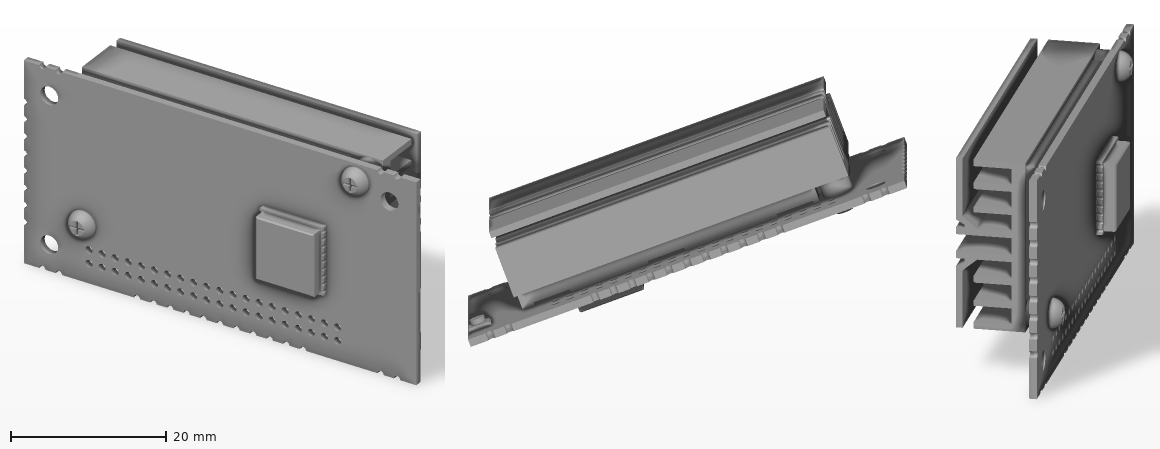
import cadquery as cq
import math


board_length = 60.0
board_height = 30.0
board_thickness = 1.0
mount_hole_diameter = 2.7
mount_hole_inset = 3.9
mount_pitch_x = 52.0
mount_pitch_z = 22.0
pin_hole_diameter = 1.1
pin_pitch = 6 / 3
pin_columns = 20
pin_rows = 2
pin_first_x = 9.95
pin_first_z = 2.95
edge_notch_radius = 0.5
corner_pair_xs = (2.8, 54.55)
bottom_notch_count = 11
bottom_notch_first_x = 17.3
bottom_notch_span = 25.4
edge_notch_pitch = bottom_notch_span / (bottom_notch_count - 1)
left_notch_count = 8
left_notch_first_z = 6.05

sink_length = 46.0
sink_height = 23.2
sink_left = 6.95
sink_center_x = sink_left + sink_length / 2
sink_center_z = 18.05
standoff_height = 2.0
standoff_diameter = 4.0
sink_base_y = board_thickness + standoff_height
sink_base_thickness = 1.8
fin_root_y = sink_base_y + sink_base_thickness
fin_length = 5.05
fin_tip_y = fin_root_y + fin_length
fin_thickness = 0.9
fin_pitch = 3.2
fin_tip_chamfer = 0.2
center_gap = 2.4
sink_back_y = 12.2
wing_thickness = 0.9
wing_outer_z = 3.25
wing_inner_z = 3.7
wing_groove_depth = 1.15
wing_groove_width = 0.5
wing_web_depth = 2.8

screw_offset_x = 20.9
screw_offset_z = 9.5
screw_head_diameter = 4.0
screw_head_height = 1.55
screw_head_rim = 0.25
screw_head_flat_diameter = 2.15
screw_dome_bulge = 0.2
shank_diameter = 2.0
cross_length = 2.15
cross_width = 0.35
cross_depth = 0.5

pad_thickness = 0.2
can_length = 45.05
can_height = 21.95
can_wall = 0.2
can_depth = standoff_height - pad_thickness
can_cutout_x = 4.2
can_cutout_z = 3.6
can_slot_height = 0.35
can_slot_length = 5.05
can_top_slot_starts = (1.6, 17.35, 35.05)
can_end_slot_top_inset = 0.6
can_end_slot_low = 5.45
can_cutout_slot_inset = 0.35

chip_center_x = 41.45
chip_center_z = 14.5
carrier_width = 9.7
carrier_height = 10.1
carrier_thickness = 0.85
castellation_radius = 0.25
castellation_count = 9
castellation_span = 8.9
castellation_pitch = castellation_span / (castellation_count - 1)
chip_width = 8.9
chip_height = 9.25
chip_front_y = -2.5
chip_chamfer = 0.2

plug_center_x = 58.3
plug_center_z = 5.8
foot_length = 3.1
foot_width = 2.75
foot_thickness = 0.25
plug_base_length = 2.9
plug_base_width = 2.5
plug_base_thickness = 0.5
barrel_diameter = 2.0
plug_height = 1.25
snap_groove_width = 0.25
snap_groove_depth = 0.1


def box(x, y, z):
    """Box spanning the three (low, high) ranges."""
    size = (x[1] - x[0], y[1] - y[0], z[1] - z[0])
    return cq.Workplane("XY").box(*size, centered=False).translate((x[0], y[0], z[0]))


def centered_box(center_x, center_z, length, height, y):
    """Box centred in X and Z that spans the (low, high) range y."""
    return box(
        (center_x - length / 2, center_x + length / 2),
        y,
        (center_z - height / 2, center_z + height / 2),
    )


def cylinders(points, diameter, y_start, y_end):
    """Cylinders along Y at the given (x, z) points."""
    plane = cq.Workplane("XZ", origin=(0, y_start, 0))
    return plane.pushPoints(points).circle(diameter / 2).extrude(y_start - y_end)


def half_turn(body):
    """Copy of a body turned 180 degrees about the heatsink axis along Y."""
    start = (sink_center_x, 0, sink_center_z)
    end = (sink_center_x, 1, sink_center_z)
    return body.rotate(start, end, 180)


screw_points = [
    (sink_center_x + side * screw_offset_x, sink_center_z + side * screw_offset_z)
    for side in (-1, 1)
]


def edge_notch_points():
    """Centres of the half-round notches along the top, bottom and left edges."""
    points = []
    for pair_x in corner_pair_xs:
        for x in (pair_x, pair_x + edge_notch_pitch):
            points += [(x, 0), (x, board_height)]
    for i in range(bottom_notch_count):
        points.append((bottom_notch_first_x + i * edge_notch_pitch, 0))
    for i in range(left_notch_count):
        points.append((0, left_notch_first_z + i * edge_notch_pitch))
    return points


def make_board():
    far_x = mount_hole_inset + mount_pitch_x
    far_z = mount_hole_inset + mount_pitch_z
    mount_points = [
        (mount_hole_inset, mount_hole_inset),
        (mount_hole_inset, far_z),
        (far_x, far_z),
    ]
    pin_points = [
        (pin_first_x + column * pin_pitch, pin_first_z + row * pin_pitch)
        for column in range(pin_columns)
        for row in range(pin_rows)
    ]
    board = box((0, board_length), (0, board_thickness), (0, board_height))
    for points, diameter in (
        (mount_points, mount_hole_diameter),
        (pin_points, pin_hole_diameter),
        (edge_notch_points(), 2 * edge_notch_radius),
        (screw_points, shank_diameter),
    ):
        board = board.cut(cylinders(points, diameter, 0, board_thickness))
    return board


def extrude_profile(points):
    """Extrude a (y, z) outline along the heatsink, z measured from its centre."""
    plane = cq.Workplane("YZ", origin=(sink_left, 0, sink_center_z))
    return plane.polyline(points).close().extrude(sink_length)


def make_fin(low_z, chamfered_edge):
    """Short fin; chamfered_edge picks the tip edge to bevel, or None for a square tip."""
    y_range = (sink_base_y, fin_tip_y)
    x_range = (sink_left, sink_left + sink_length)
    bottom = sink_center_z + low_z
    fin = box(x_range, y_range, (bottom, bottom + fin_thickness))
    if chamfered_edge:
        fin = fin.faces(">Y").edges(chamfered_edge).chamfer(fin_tip_chamfer)
    return fin


def make_wing():
    """Long inner fin with a slanted web that carries the outer plate."""
    low = center_gap / 2
    high = low + fin_thickness
    groove_y = sink_back_y - wing_groove_depth
    plate_y = sink_back_y - wing_thickness
    return extrude_profile([
        (sink_base_y, low),
        (sink_back_y, low),
        (sink_back_y, high),
        (groove_y, high),
        (groove_y, high + wing_groove_width),
        (sink_back_y, wing_outer_z),
        (sink_back_y, sink_height / 2),
        (plate_y, sink_height / 2),
        (plate_y, wing_inner_z),
        (sink_back_y - wing_web_depth, high),
        (sink_base_y, high),
    ])


def make_heatsink():
    inner_z = center_gap / 2
    upper_half = (
        make_wing()
        .union(make_fin(inner_z + fin_pitch, ">Z"))
        .union(make_fin(inner_z + 2 * fin_pitch, "<Z"))
        .union(make_fin(sink_height / 2 - fin_thickness, None))
    )
    lower_half = upper_half.mirror("XY", (0, 0, sink_center_z))
    base = centered_box(
        sink_center_x, sink_center_z, sink_length, sink_height, (sink_base_y, fin_root_y)
    )
    standoffs = cylinders(screw_points, standoff_diameter, board_thickness, sink_base_y)
    screw_holes = cylinders(screw_points, shank_diameter, board_thickness, sink_base_y)
    return base.union(upper_half).union(lower_half).union(standoffs).cut(screw_holes)


def make_screw(x, z):
    """Round-head screw with a cross recess; its shank ends at the heatsink base."""
    head_radius = screw_head_diameter / 2
    flat_radius = screw_head_flat_diameter / 2
    run = head_radius - flat_radius
    rise = screw_head_height - screw_head_rim
    chord = math.hypot(run, rise)
    dome_mid = (
        (head_radius + flat_radius) / 2 + screw_dome_bulge * rise / chord,
        -(screw_head_rim + screw_head_height) / 2 - screw_dome_bulge * run / chord,
    )
    screw = (
        cq.Workplane("XY")
        .moveTo(0, sink_base_y)
        .lineTo(shank_diameter / 2, sink_base_y)
        .lineTo(shank_diameter / 2, 0)
        .lineTo(head_radius, 0)
        .lineTo(head_radius, -screw_head_rim)
        .threePointArc(dome_mid, (flat_radius, -screw_head_height))
        .lineTo(0, -screw_head_height)
        .close()
        .revolve(360, (0, 0, 0), (0, 1, 0))
    )
    recess_y = (-screw_head_height, cross_depth - screw_head_height)
    screw = screw.cut(centered_box(0, 0, cross_length, cross_width, recess_y))
    screw = screw.cut(centered_box(0, 0, cross_width, cross_length, recess_y))
    return screw.translate((x, 0, z))


can_left = sink_center_x - can_length / 2
can_bottom = sink_center_z - can_height / 2
can_right = can_left + can_length
can_top = can_bottom + can_height
can_top_y = board_thickness + can_depth


def stepped_plate(inset, y_start, y_end):
    """Can outline moved inward by inset, with two opposite corners cut out for the standoffs."""
    left = can_left + inset
    right = can_right - inset
    bottom = can_bottom + inset
    top = can_top - inset
    points = [
        (left + can_cutout_x, bottom),
        (right, bottom),
        (right, top - can_cutout_z),
        (right - can_cutout_x, top - can_cutout_z),
        (right - can_cutout_x, top),
        (left, top),
        (left, bottom + can_cutout_z),
        (left + can_cutout_x, bottom + can_cutout_z),
    ]
    plane = cq.Workplane("XZ", origin=(0, y_start, 0))
    return plane.polyline(points).close().extrude(y_start - y_end)


def can_slots():
    """Slots at the board edge of the top wall, left wall and upper right cutout."""
    slot_y = (board_thickness, board_thickness + can_slot_height)
    top_wall = (can_top - can_wall, can_top)
    left_wall = (can_left, can_left + can_wall)
    slots = cq.Workplane("XY")
    for start in can_top_slot_starts:
        x = can_left + start
        slots = slots.add(box((x, x + can_slot_length), slot_y, top_wall))
    slot_top = can_top - can_end_slot_top_inset
    slots = slots.add(box(left_wall, slot_y, (slot_top - can_slot_length, slot_top)))
    cutout_bottom = can_bottom + can_cutout_z
    slots = slots.add(box(left_wall, slot_y, (cutout_bottom, cutout_bottom + can_end_slot_low)))
    ledge_top = can_top - can_cutout_z
    ledge_x = (can_right - can_cutout_x, can_right - can_cutout_slot_inset)
    slots = slots.add(box(ledge_x, slot_y, (ledge_top - can_wall, ledge_top)))
    return slots.combine()


def make_can():
    can = stepped_plate(0, board_thickness, can_top_y)
    can = can.cut(stepped_plate(can_wall, board_thickness, can_top_y - can_wall))
    slots = can_slots()
    return can.cut(slots).cut(half_turn(slots))


def make_pad():
    return stepped_plate(0, can_top_y, sink_base_y)


def make_chip():
    """Castellated carrier with a bevelled package on its front."""
    carrier = centered_box(
        chip_center_x, chip_center_z, carrier_width, carrier_height, (-carrier_thickness, 0)
    )
    row_start = chip_center_z - castellation_span / 2
    castellations = [
        (chip_center_x + side * carrier_width / 2, row_start + i * castellation_pitch)
        for side in (-1, 1)
        for i in range(castellation_count)
    ]
    carrier = carrier.cut(
        cylinders(castellations, 2 * castellation_radius, -carrier_thickness, 0)
    )
    package = centered_box(
        chip_center_x, chip_center_z, chip_width, chip_height, (chip_front_y, -carrier_thickness)
    )
    return carrier.union(package.faces("<Y").edges().chamfer(chip_chamfer))


def make_connector():
    """Round barrel with a snap groove, standing on a base and a thin foot."""
    foot_top = board_thickness + foot_thickness
    base_top = board_thickness + plug_base_thickness
    barrel_top = board_thickness + plug_height
    groove_diameter = barrel_diameter - 2 * snap_groove_depth
    axis = (plug_center_x, plug_center_z)
    foot = centered_box(*axis, foot_length, foot_width, (board_thickness, foot_top))
    base = centered_box(*axis, plug_base_length, plug_base_width, (board_thickness, base_top))
    neck = cylinders([axis], groove_diameter, board_thickness, barrel_top)
    barrel = cylinders([axis], barrel_diameter, base_top + snap_groove_width, barrel_top)
    return foot.union(base).union(neck).union(barrel)


board = make_board()
heatsink = make_heatsink()
screws = [make_screw(x, z) for x, z in screw_points]
shield_can = make_can()
thermal_pad = make_pad()
chip = make_chip()
connector = make_connector()

result = cq.Compound.makeCompound([
    board.solids().val(),
    heatsink.solids().val(),
    *[screw.solids().val() for screw in screws],
    shield_can.solids().val(),
    thermal_pad.solids().val(),
    chip.solids().val(),
    connector.solids().val(),
])